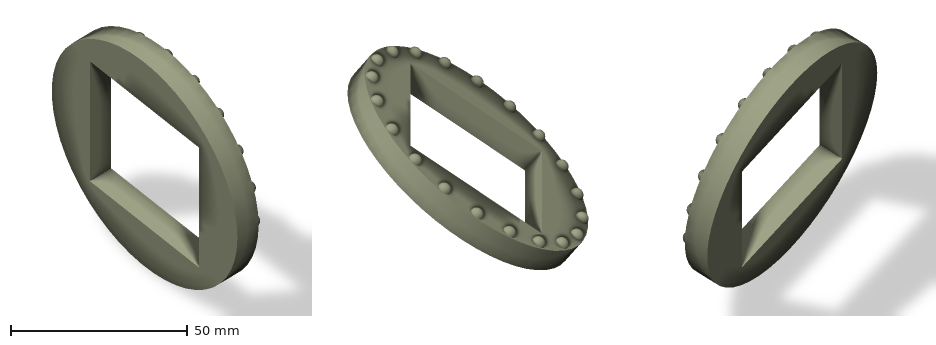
import cadquery as cq

outer_diameter = 80.0
plate_thickness = 8.0
window_side = 47.0

bump_count = 20
bump_radius = 2.0
rim_gap = 0.4
bump_circle_radius = outer_diameter / 2 - rim_gap - bump_radius


def make_plate():
    """Round plate with a square window through it, from y = 0 to its thickness."""
    return (
        cq.Workplane("XZ")
        .circle(outer_diameter / 2)
        .rect(window_side, window_side)
        .extrude(-plate_thickness)
    )


def make_bump(angle):
    """Ball centred on the +Y face, turned to its place around the Y axis."""
    return (
        cq.Workplane("XY")
        .sphere(bump_radius)
        .translate((bump_circle_radius, plate_thickness, 0))
        .rotate((0, 0, 0), (0, 1, 0), angle)
    )


result = make_plate()
for index in range(bump_count):
    result = result.union(make_bump(index * 360 / bump_count))